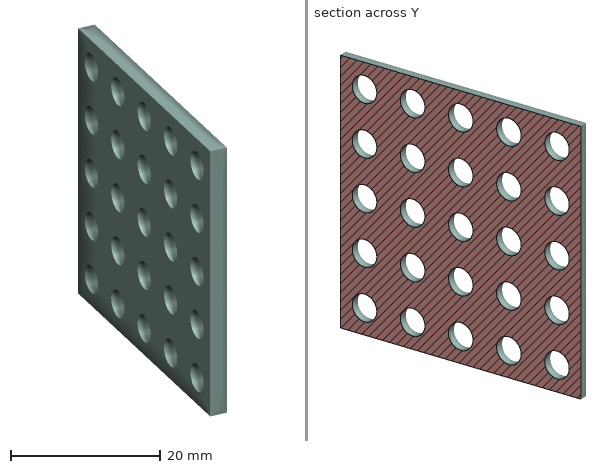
import cadquery as cq

plate_side = 40.0
plate_thickness = 2.5
holes_per_side = 5
hole_diameter = 4.0

hole_pitch = plate_side / holes_per_side

plate = cq.Workplane("XY").box(plate_side, plate_thickness, plate_side)

result = (
    plate.faces("<Y")
    .workplane(centerOption="CenterOfBoundBox")
    .rarray(hole_pitch, hole_pitch, holes_per_side, holes_per_side)
    .hole(hole_diameter)
)